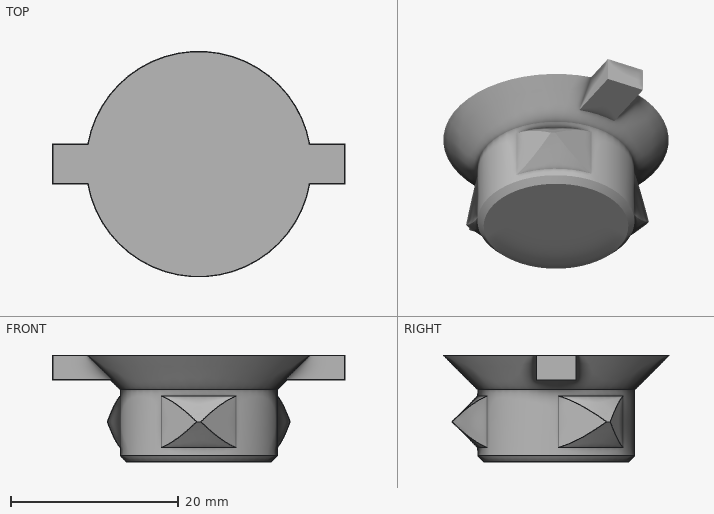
import cadquery as cq

total_length = 34.92
total_height = 12.7

body_radius = 18.75 / 2
head_radius = 26.92 / 2
flare_height = head_radius - body_radius
bottom_chamfer = 0.75

tab_width = 4.75
tab_thickness = 2.95

tooth_count = 3
tooth_angle = 360 / tooth_count
first_tooth_angle = -90
tooth_tip_radius = 12.45
tooth_half_height = tooth_tip_radius - body_radius
tooth_center_height = 4.8
tooth_tip_width = 0.5


def make_body():
    """Revolve the chamfered cylinder and its flared head."""
    profile = [
        (0, 0),
        (body_radius - bottom_chamfer, 0),
        (body_radius, bottom_chamfer),
        (body_radius, total_height - flare_height),
        (head_radius, total_height),
        (0, total_height),
    ]
    return cq.Workplane("XZ").polyline(profile).close().revolve(360, (0, 0), (0, 1))


def make_tabs():
    """Make one bar across the head, flush with its top face."""
    return (
        cq.Workplane("XY", origin=(0, 0, total_height))
        .rect(total_length, tab_width)
        .extrude(-tab_thickness)
    )


def make_tooth():
    """Cut a tooth pointing along +X from a 45 degree V-shaped ring."""
    bottom = tooth_center_height - tooth_half_height
    top = tooth_center_height + tooth_half_height
    ring_profile = [
        (0, bottom),
        (body_radius, bottom),
        (tooth_tip_radius, tooth_center_height),
        (body_radius, top),
        (0, top),
    ]
    ring = cq.Workplane("XZ").polyline(ring_profile).close().revolve(360, (0, 0), (0, 1))

    wedge_reach = tooth_tip_radius + tooth_tip_width / 2
    wedge_root = wedge_reach / 2
    wedge = (
        cq.Workplane("XY")
        .polyline([(wedge_root, -wedge_root), (wedge_reach, 0), (wedge_root, wedge_root)])
        .close()
        .extrude(total_height)
    )
    return ring.intersect(wedge)


result = make_body().union(make_tabs())
tooth = make_tooth()
for index in range(tooth_count):
    angle = first_tooth_angle + index * tooth_angle
    result = result.union(tooth.rotate((0, 0, 0), (0, 0, 1), angle))